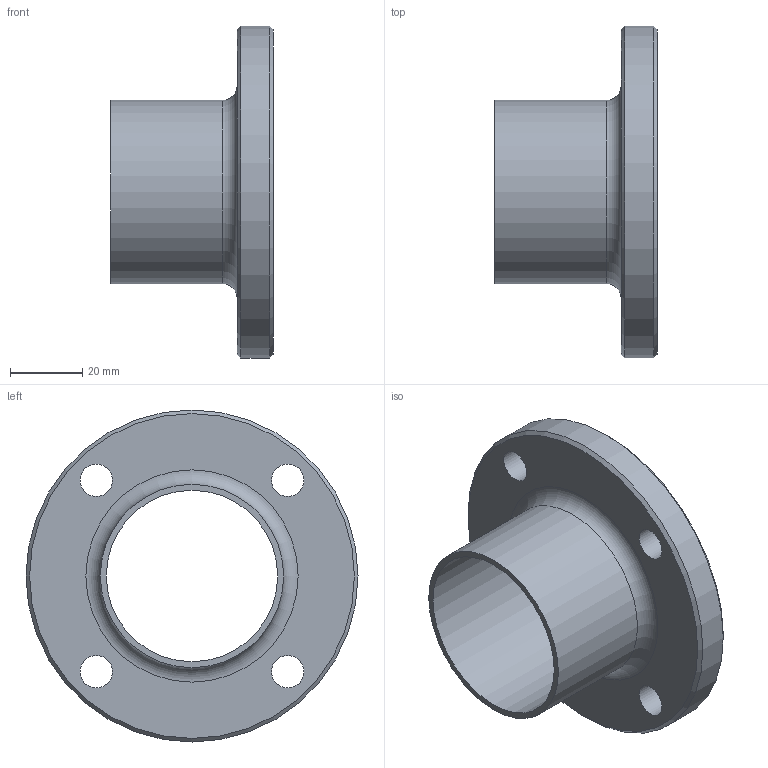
import cadquery as cq
import math

total_length = 45.0
flange_diameter = 92.0
flange_thickness = 10.0
flange_chamfer = 1.0

tube_outer_diameter = 50.8
bore_diameter = 47.5
root_fillet_radius = 4.0

bolt_circle_diameter = 75.0
bolt_hole_diameter = 9.0
bolt_hole_count = 4
first_hole_angle = 45.0

flange_radius = flange_diameter / 2
tube_radius = tube_outer_diameter / 2
flange_face_x = total_length - flange_thickness


def turned_body():
    """Solid of revolution: tube, concave root fillet and chamfered flange."""
    fillet_center_x = flange_face_x - root_fillet_radius
    fillet_center_r = tube_radius + root_fillet_radius
    arc_offset = root_fillet_radius * math.sqrt(0.5)
    rim_radius = flange_radius - flange_chamfer
    profile = (
        cq.Workplane("XY")
        .moveTo(0, 0)
        .lineTo(0, tube_radius)
        .lineTo(fillet_center_x, tube_radius)
        .threePointArc(
            (fillet_center_x + arc_offset, fillet_center_r - arc_offset),
            (flange_face_x, fillet_center_r),
        )
        .lineTo(flange_face_x, rim_radius)
        .lineTo(flange_face_x + flange_chamfer, flange_radius)
        .lineTo(total_length - flange_chamfer, flange_radius)
        .lineTo(total_length, rim_radius)
        .lineTo(total_length, 0)
        .close()
    )
    return profile.revolve(360, (0, 0, 0), (1, 0, 0))


def bore():
    """Cylinder that opens the part from end to end."""
    return cq.Workplane("YZ").circle(bore_diameter / 2).extrude(total_length)


def bolt_holes():
    """Cylinders through the flange, evenly spaced on the bolt circle."""
    return (
        cq.Workplane("YZ", origin=(flange_face_x, 0, 0))
        .polarArray(bolt_circle_diameter / 2, first_hole_angle, 360, bolt_hole_count)
        .circle(bolt_hole_diameter / 2)
        .extrude(flange_thickness)
    )


result = turned_body().cut(bore()).cut(bolt_holes())